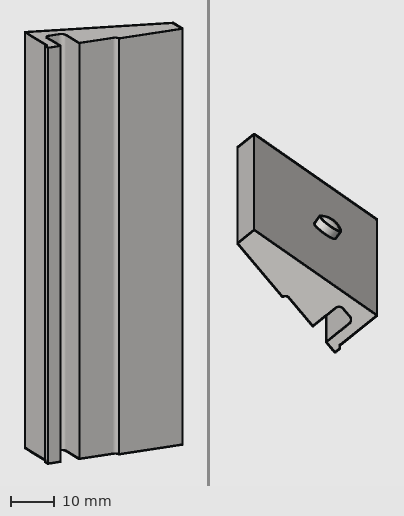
import cadquery as cq
import math

LENGTH = 100.0
WIDTH = 14.0
DEPTH = 34.0
TOP_THICKNESS = 5.0

STEP_DEPTH = 1.0
STEP_Y = 17.7
STEP_RADIUS = STEP_DEPTH

SLOT_FLOOR_X = 5.0
SLOT_LOW_Y = 3.2
SLOT_HIGH_Y = 8.0
SLOT_RADIUS = 1.2

LIP_HEIGHT = 0.6
LIP_WIDTH = 1.5
LIP_FLANK = 0.3

BUTTON_DIAMETER = 6.0
BUTTON_SIDE = 2.2
DOME_HEIGHT = 0.9
BUTTON_Y = 14.8

BACK_X = WIDTH - STEP_DEPTH
SLOPE_RUN = WIDTH - TOP_THICKNESS
SLOPE_RISE = DEPTH - LIP_HEIGHT
SLOPE_ANGLE = math.atan2(SLOPE_RUN, SLOPE_RISE)


def make_bar():
    """Extrude the wedge outline, with its lip and back step."""
    lip_x = BACK_X - LIP_WIDTH
    bar = (
        cq.Workplane("XY")
        .moveTo(0, LIP_HEIGHT)
        .lineTo(lip_x - LIP_FLANK, LIP_HEIGHT)
        .lineTo(lip_x, 0)
        .lineTo(BACK_X, 0)
        .lineTo(BACK_X, STEP_Y - STEP_RADIUS)
        .radiusArc((WIDTH, STEP_Y), STEP_RADIUS)
        .lineTo(WIDTH, DEPTH)
        .lineTo(SLOPE_RUN, DEPTH)
        .close()
        .extrude(LENGTH)
    )
    return bar


def make_slot():
    """Full-length slot cutter with rounded floor corners."""
    return (
        cq.Workplane("XY")
        .moveTo(SLOT_FLOOR_X, SLOT_LOW_Y)
        .rect(WIDTH - SLOT_FLOOR_X, SLOT_HIGH_Y - SLOT_LOW_Y, centered=False)
        .extrude(LENGTH)
        .edges("|Z and <X")
        .fillet(SLOT_RADIUS)
    )


def make_button():
    """Revolve the domed button about the normal of the sloping face."""
    radius = BUTTON_DIAMETER / 2
    face_x = (BUTTON_Y - LIP_HEIGHT) * math.tan(SLOPE_ANGLE)
    face_plane = cq.Plane(
        origin=(face_x, BUTTON_Y, LENGTH / 2),
        xDir=(math.sin(SLOPE_ANGLE), math.cos(SLOPE_ANGLE), 0),
        normal=(0, 0, 1),
    )
    sphere_radius = (radius**2 + DOME_HEIGHT**2) / (2 * DOME_HEIGHT)
    embed = 1.0
    return (
        cq.Workplane(face_plane)
        .moveTo(0, -embed)
        .lineTo(radius, -embed)
        .lineTo(radius, BUTTON_SIDE)
        .radiusArc((0, BUTTON_SIDE + DOME_HEIGHT), -sphere_radius)
        .close()
        .revolve(360, (0, 0), (0, 1))
    )


result = make_bar().cut(make_slot()).union(make_button())